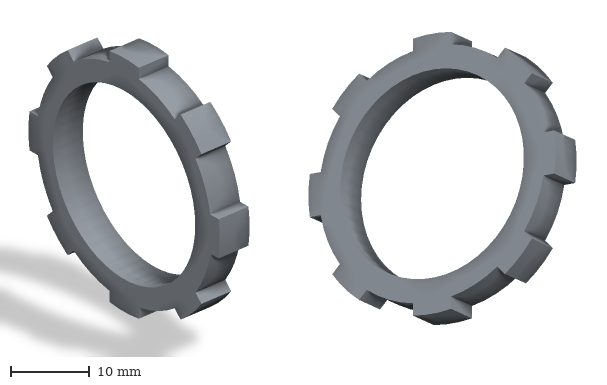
import cadquery as cq

outer_diameter = 36.98
body_diameter = 33.75
bore_diameter = 27.48
thickness = 5.0

lug_count = 8
lug_width = 5.7


def disc(diameter):
    """Solid disc about the Y axis, centred on the origin."""
    return cq.Workplane("XZ").circle(diameter / 2).extrude(thickness / 2, both=True)


def lug_bars():
    """Parallel-sided bars across the ring; each one makes two opposite lugs."""
    single_bar = cq.Workplane("XY").box(lug_width, thickness, 2 * outer_diameter)
    bars = single_bar
    for index in range(1, lug_count // 2):
        angle = index * 360 / lug_count
        bars = bars.union(single_bar.rotate((0, 0, 0), (0, 1, 0), angle))
    return bars


lugs = disc(outer_diameter).intersect(lug_bars())
result = disc(body_diameter).union(lugs).cut(disc(bore_diameter))